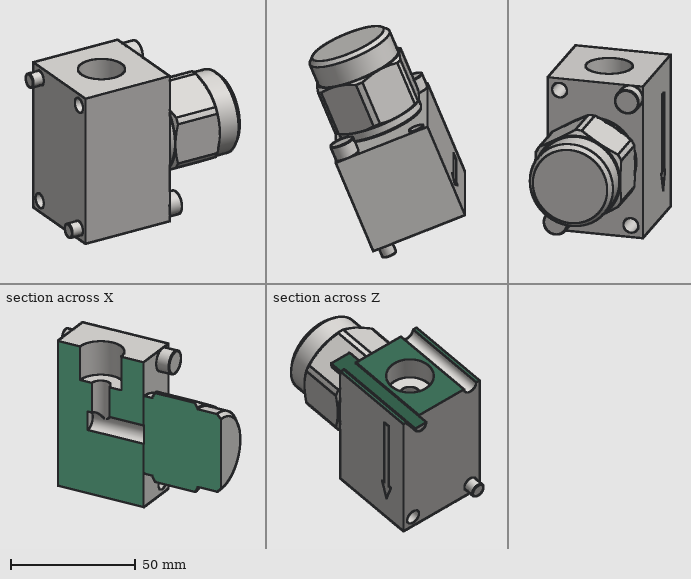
import cadquery as cq
import math

block_width = 40.0
block_depth = block_width
block_height = 65.0

port_y = block_depth / 2
port_diameter = 19.0
port_depth = 15.0
passage_diameter = 8.0
bore_diameter = passage_diameter
bore_end_margin = 2.0
bore_length = block_depth - port_y + passage_diameter / 2 + bore_end_margin

screw_hole_diameter = 6.2
shank_diameter = 6.0
shank_projection = 5.0
shank_chamfer = 0.25
head_diameter = 10.0
screw_inset = 5.0
head_height = 6.0
head_chamfer = 0.25
column_x = block_width / 2 - screw_inset
row_z = block_height / 2 - screw_inset
screw_places = [(-column_x, row_z), (column_x, -row_z)]
open_hole_places = [(column_x, row_z), (-column_x, -row_z)]

arrow_y = 10.8
arrow_top_z = 19.5
arrow_shoulder_z = -14.1
arrow_tip_z = -21.95
arrow_shaft_width = 2.9
arrow_head_width = 5.6
arrow_engraving = 0.1

overall_length = 81
plug_end_y = overall_length - shank_projection
plug_diameter = 35.0
plug_end_chamfer = 1.9
collar_length = 4.0
collar_chamfer_length = 0.5
collar_chamfer_width = 0.25
hex_sides = 6
hex_length = 21.1
hex_across_flats = 36.0
hex_corner_diameter = 40.0
hex_chamfer_angle = 30


def cylinder_along_y(diameter, start_y, length, x=0, z=0):
    """Round bar starting at start_y and running toward +Y."""
    start = cq.Vector(x, start_y, z)
    return cq.Workplane(obj=cq.Solid.makeCylinder(diameter / 2, length, start, cq.Vector(0, 1, 0)))


def cut_inlet(block):
    """Cut the inlet port, its passage and the cross bore that it opens into."""
    top_z = block_height / 2
    port = (
        cq.Workplane("XY", origin=(0, port_y, top_z))
        .circle(port_diameter / 2)
        .extrude(-port_depth)
    )
    passage = cq.Workplane("XY", origin=(0, port_y, 0)).circle(passage_diameter / 2).extrude(top_z)
    bore = cylinder_along_y(bore_diameter, block_depth - bore_length, bore_length)
    return block.cut(port).cut(passage).cut(bore)


def cut_screw_holes(block):
    """Cut a clearance hole through each corner; two hold screws and two stay open."""
    for x, z in screw_places + open_hole_places:
        block = block.cut(cylinder_along_y(screw_hole_diameter, 0, block_depth, x, z))
    return block


def engrave_arrow(block):
    """Engrave the downward flow arrow in the -X face."""
    half_shaft = arrow_shaft_width / 2
    half_head = arrow_head_width / 2
    arrow = (
        cq.Workplane("YZ", origin=(-block_width / 2, arrow_y, 0))
        .moveTo(-half_shaft, arrow_top_z)
        .lineTo(half_shaft, arrow_top_z)
        .lineTo(half_shaft, arrow_shoulder_z)
        .lineTo(half_head, arrow_shoulder_z)
        .lineTo(0, arrow_tip_z)
        .lineTo(-half_head, arrow_shoulder_z)
        .lineTo(-half_shaft, arrow_shoulder_z)
        .close()
        .extrude(arrow_engraving)
    )
    return block.cut(arrow)


def make_block():
    block = cq.Workplane("XY").box(block_width, block_depth, block_height)
    block = block.translate((0, block_depth / 2, 0))
    block = cut_inlet(block)
    block = cut_screw_holes(block)
    return engrave_arrow(block)


def make_screw(x, z):
    """Cap screw whose head rests on the back face and whose tip stands out of the front face."""
    shank = cylinder_along_y(shank_diameter, -shank_projection, block_depth + shank_projection, x, z)
    shank = shank.faces("<Y").chamfer(shank_chamfer)
    head = cylinder_along_y(head_diameter, block_depth, head_height, x, z)
    head = head.faces(">Y").chamfer(head_chamfer)
    return shank.union(head)


def make_hexagon(start_y):
    """Hexagon with flats facing +X and -X, turned on its corners and coned at both ends."""
    end_y = start_y + hex_length
    flat_radius = hex_across_flats / 2
    corner_radius = hex_corner_diameter / 2
    cone_length = (corner_radius - flat_radius) * math.tan(math.radians(hex_chamfer_angle))
    prism = (
        cq.Workplane("XZ", origin=(0, start_y, 0))
        .polygon(hex_sides, hex_across_flats, circumscribed=True)
        .extrude(-hex_length)
    )
    turned_envelope = (
        cq.Workplane("XY")
        .moveTo(0, start_y)
        .lineTo(flat_radius, start_y)
        .lineTo(corner_radius, start_y + cone_length)
        .lineTo(corner_radius, end_y - cone_length)
        .lineTo(flat_radius, end_y)
        .lineTo(0, end_y)
        .close()
        .revolve(360, (0, 0, 0), (0, 1, 0))
    )
    return prism.intersect(turned_envelope)


def make_plug():
    """Round plug, chamfered at both ends, with a hexagon between its collar and its cap."""
    plug_radius = plug_diameter / 2
    barrel = (
        cq.Workplane("XY")
        .moveTo(0, block_depth)
        .lineTo(plug_radius - collar_chamfer_width, block_depth)
        .lineTo(plug_radius, block_depth + collar_chamfer_length)
        .lineTo(plug_radius, plug_end_y - plug_end_chamfer)
        .lineTo(plug_radius - plug_end_chamfer, plug_end_y)
        .lineTo(0, plug_end_y)
        .close()
        .revolve(360, (0, 0, 0), (0, 1, 0))
    )
    return barrel.union(make_hexagon(block_depth + collar_length))


block = make_block()
screws = [make_screw(x, z) for x, z in screw_places]
plug = make_plug()

result = cq.Compound.makeCompound([block.val(), *[screw.val() for screw in screws], plug.val()])